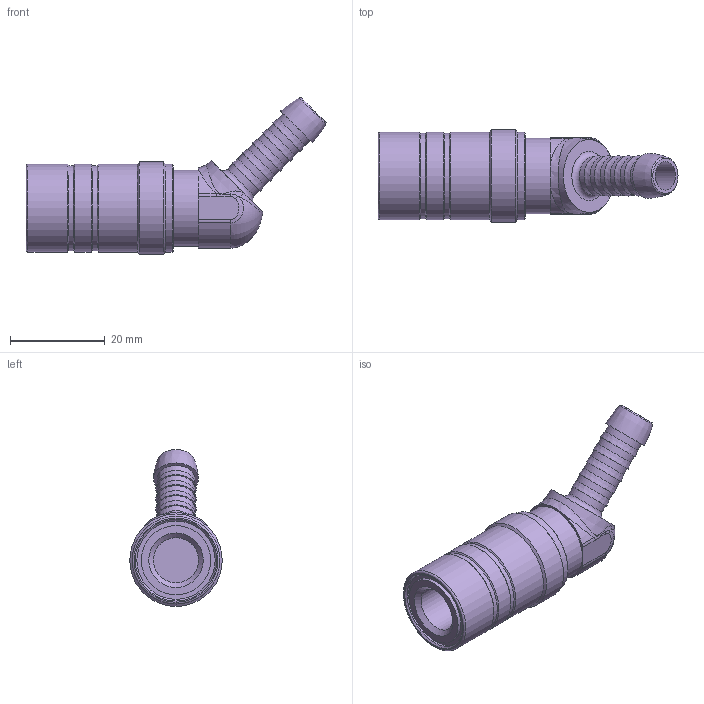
import cadquery as cq
import math

SLEEVE_R = 18.5 / 2
SLEEVE_END = 31.0
RIM_FILLET = 0.4
END_CHAMFER = 0.2
GROOVE_R = 18.0 / 2
GROOVE_CENTRES = (9.5, 14.5)
GROOVE_FLOOR = 1.0
COLLAR_R = 19.5 / 2
COLLAR_START = 23.5
COLLAR_END = 29.4
COLLAR_BEVEL = 0.4
NECK_R = 16.0 / 2

BORE_R = 9.5 / 2
BORE_DEPTH = 20.0
MOUTH_R = 11.5 / 2
MOUTH_DEPTH = 1.0
FACE_GROOVE_INNER_R = 14.6 / 2
FACE_GROOVE_OUTER_R = 16.5 / 2
FACE_GROOVE_DEPTH = 0.8
FACE_GROOVE_CHAMFER = 0.35

ELBOW_START = 36.35
ELBOW_R = 17.0 / 2
DOME_START = 43.2
DOME_LENGTH = 6.7
FLAT_HALF_WIDTH = 8.05
FLAT_EDGE_FILLET = 2.0
FLARE_FILLET = 3.0
BLEND_ALLOWANCE = 6.0
TRIM_SIZE = 60.0

BEND_X = 39.92
BEND_ANGLE = 45.0
FLANGE_FACE = 6.5
FLANGE_FACE_R = 15.4 / 2
FLANGE_TAPER = 6.0
STEM_R = 8.0 / 2
STEM_FILLET = 1.15
BARB_R = 8.5 / 2
BARB_PITCH = 3.0
BARB_COUNT = 5
BARB_TAPER_LENGTH = BARB_PITCH / 2
BULB_START = 24.25
BULB_R = 9.5 / 2
TIP = 29.25
TIP_R = 8.0 / 2
TIP_CHAMFER = 0.25
HOSE_BORE_R = 6.0 / 2


def cylinder_x(radius, start, end):
    return cq.Workplane("YZ", origin=(start, 0, 0)).circle(radius).extrude(end - start)


def turn_x(profile):
    """Revolve an XY profile (position, radius) about the X axis."""
    return profile.close().revolve(360, (0, 0, 0), (1, 0, 0))


def block(start, end, width):
    """Trimming block along X, as tall as TRIM_SIZE."""
    return cq.Workplane("YZ", origin=(start, 0, 0)).rect(width, TRIM_SIZE).extrude(end - start)


def on_branch(shape):
    """Move a shape turned about X onto the hose branch axis."""
    tilted = shape.rotate((0, 0, 0), (0, 1, 0), -BEND_ANGLE)
    return tilted.translate((BEND_X, 0, 0))


def outer_groove(centre):
    depth = SLEEVE_R - GROOVE_R
    half_floor = GROOVE_FLOOR / 2
    half_mouth = half_floor + depth
    profile = (
        cq.Workplane("XY")
        .moveTo(centre - half_mouth, SLEEVE_R)
        .lineTo(centre - half_floor, GROOVE_R)
        .lineTo(centre + half_floor, GROOVE_R)
        .lineTo(centre + half_mouth, SLEEVE_R)
        .lineTo(centre + half_mouth, COLLAR_R)
        .lineTo(centre - half_mouth, COLLAR_R)
    )
    return turn_x(profile)


def make_collar():
    profile = (
        cq.Workplane("XY")
        .moveTo(COLLAR_START, 0)
        .lineTo(COLLAR_START, SLEEVE_R)
        .lineTo(COLLAR_START + COLLAR_BEVEL, COLLAR_R)
        .lineTo(COLLAR_END - COLLAR_BEVEL, COLLAR_R)
        .lineTo(COLLAR_END, SLEEVE_R)
        .lineTo(COLLAR_END, 0)
    )
    return turn_x(profile)


def make_socket():
    sleeve = cylinder_x(SLEEVE_R, 0, SLEEVE_END)
    sleeve = sleeve.faces("<X").edges().fillet(RIM_FILLET)
    sleeve = sleeve.faces(">X").edges().chamfer(END_CHAMFER)
    for centre in GROOVE_CENTRES:
        sleeve = sleeve.cut(outer_groove(centre))
    return sleeve.union(make_collar()).union(cylinder_x(NECK_R, SLEEVE_END, ELBOW_START))


def make_mouth():
    bore = cylinder_x(BORE_R, 0, BORE_DEPTH)
    countersink = turn_x(
        cq.Workplane("XY").lineTo(0, MOUTH_R).lineTo(MOUTH_DEPTH, BORE_R).lineTo(MOUTH_DEPTH, 0)
    )
    face_groove = turn_x(
        cq.Workplane("XY")
        .moveTo(0, FACE_GROOVE_INNER_R)
        .lineTo(0, FACE_GROOVE_OUTER_R + FACE_GROOVE_CHAMFER)
        .lineTo(FACE_GROOVE_CHAMFER, FACE_GROOVE_OUTER_R)
        .lineTo(FACE_GROOVE_DEPTH, FACE_GROOVE_OUTER_R)
        .lineTo(FACE_GROOVE_DEPTH, FACE_GROOVE_INNER_R)
    )
    return bore.union(countersink).union(face_groove)


def make_domed_body(start):
    """Cylinder ending in half an ellipsoid."""
    profile = (
        cq.Workplane("XY")
        .moveTo(DOME_START + DOME_LENGTH, 0)
        .ellipseArc(DOME_LENGTH, ELBOW_R, 0, 90)
        .lineTo(start, ELBOW_R)
        .lineTo(start, 0)
    )
    return turn_x(profile)


def make_flange():
    root_r = FLANGE_FACE_R + FLANGE_FACE * math.tan(math.radians(FLANGE_TAPER))
    profile = (
        cq.Workplane("XY")
        .lineTo(0, root_r)
        .lineTo(FLANGE_FACE, FLANGE_FACE_R)
        .lineTo(FLANGE_FACE, 0)
    )
    return on_branch(turn_x(profile))


def make_elbow():
    body = make_domed_body(ELBOW_START - BLEND_ALLOWANCE)
    body = body.cut(on_branch(block(FLANGE_FACE, FLANGE_FACE + TRIM_SIZE, TRIM_SIZE)))
    body = body.union(make_flange())

    body = body.edges("%BSPLINE").fillet(FLARE_FILLET)

    body = body.intersect(block(-TRIM_SIZE, TRIM_SIZE, 2 * FLAT_HALF_WIDTH))
    body = body.faces("<Y or >Y").edges("not(<X)").fillet(FLAT_EDGE_FILLET)
    return body.cut(block(ELBOW_START - TRIM_SIZE, ELBOW_START, TRIM_SIZE))


def make_hose_stem():
    bulb_length = TIP - TIP_CHAMFER - BULB_START
    bulb_drop = BULB_R - TIP_R
    bulb_arc_r = (bulb_length**2 + bulb_drop**2) / (2 * bulb_drop)
    bulb_middle_r = BULB_R - bulb_arc_r + math.sqrt(bulb_arc_r**2 - bulb_length**2 / 4)

    flare_offset = STEM_FILLET * (1 - math.sqrt(0.5))
    profile = (
        cq.Workplane("XY")
        .moveTo(FLANGE_FACE, 0)
        .lineTo(FLANGE_FACE, STEM_R + STEM_FILLET)
        .threePointArc(
            (FLANGE_FACE + flare_offset, STEM_R + flare_offset),
            (FLANGE_FACE + STEM_FILLET, STEM_R),
        )
    )
    for index in range(BARB_COUNT):
        crest = BULB_START - (BARB_COUNT - index) * BARB_PITCH
        profile = (
            profile.lineTo(crest, STEM_R)
            .lineTo(crest, BARB_R)
            .lineTo(crest + BARB_TAPER_LENGTH, STEM_R)
        )
    profile = (
        profile.lineTo(BULB_START, STEM_R)
        .lineTo(BULB_START, BULB_R)
        .threePointArc((BULB_START + bulb_length / 2, bulb_middle_r), (TIP - TIP_CHAMFER, TIP_R))
        .lineTo(TIP, TIP_R - TIP_CHAMFER)
        .lineTo(TIP, 0)
    )
    return on_branch(turn_x(profile))


def make_hose_bore():
    return on_branch(cylinder_x(HOSE_BORE_R, FLANGE_FACE, TIP))


result = make_socket().union(make_elbow()).union(make_hose_stem())
result = result.cut(make_mouth()).cut(make_hose_bore())